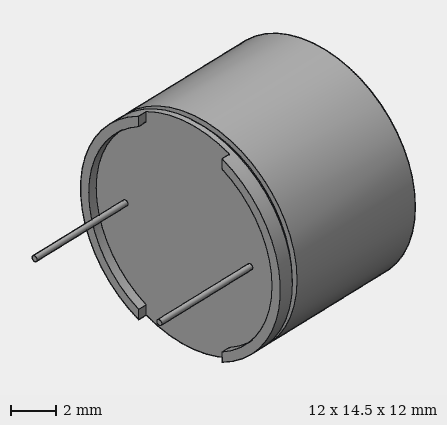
import cadquery as cq

can_diameter = 12.0
can_length = 7.9
can_edge_chamfer = 0.1

neck_diameter = 11.4
neck_length = 0.3

base_thickness = 0.3
rim_height = 0.5
rim_inner_diameter = 11.0
rim_gap_width = 5.0

overall_length = 14.5
pin_diameter = 0.3
pin_spacing = 7.5

can_front = -can_length
neck_front = can_front - neck_length
base_front = neck_front - base_thickness
pin_length = overall_length + base_front


def cylinder(diameter, start_y, length):
    """Cylinder around the Y axis, growing from start_y toward -Y."""
    return cq.Workplane("XZ", origin=(0, start_y, 0)).circle(diameter / 2).extrude(length)


def make_can():
    return cylinder(can_diameter, 0, can_length).faces(">Y").chamfer(can_edge_chamfer)


def make_rim():
    """Two standoff arcs left by gaps at the top and bottom of a ring."""
    ring = cylinder(can_diameter, base_front, rim_height).cut(
        cylinder(rim_inner_diameter, base_front, rim_height)
    )
    gap = (
        cq.Workplane("XZ", origin=(0, base_front, 0))
        .rect(rim_gap_width, can_diameter)
        .extrude(rim_height)
    )
    return ring.cut(gap)


def make_pins():
    return (
        cq.Workplane("XZ", origin=(0, base_front, 0))
        .pushPoints([(-pin_spacing / 2, 0), (pin_spacing / 2, 0)])
        .circle(pin_diameter / 2)
        .extrude(pin_length)
    )


neck = cylinder(neck_diameter, can_front, neck_length)
base = cylinder(can_diameter, neck_front, base_thickness)

result = make_can().union(neck).union(base).union(make_rim()).union(make_pins())